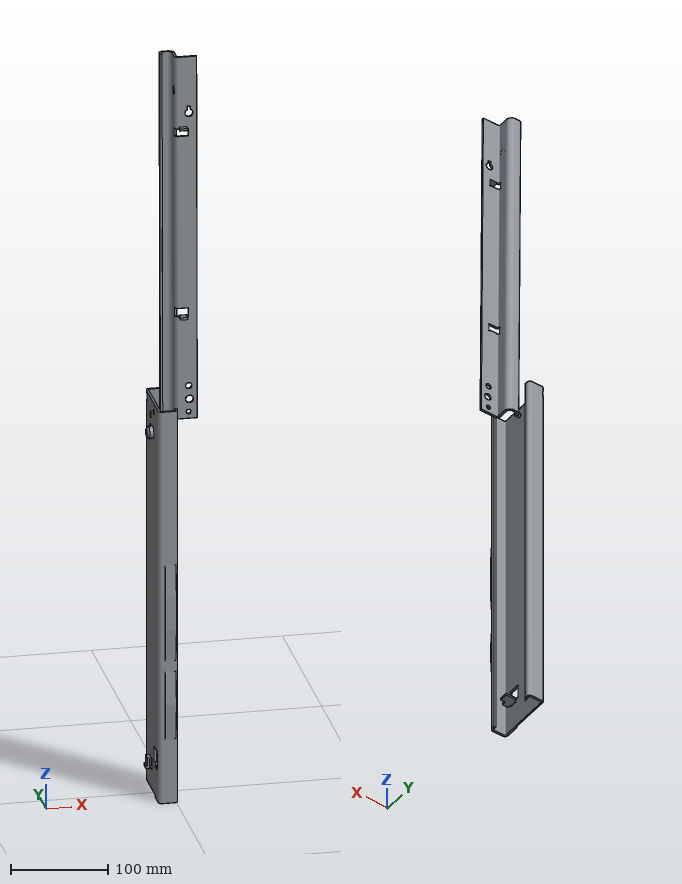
import cadquery as cq

TOTAL_HEIGHT = 815.0
SHEET = 2.5
OUTER_BEND = 4.0
INNER_BEND = OUTER_BEND - SHEET
CUT_MARGIN = 4.0

HOUSING_HEIGHT = 432.0
WEB_X = 6.5
WEB_INSIDE = WEB_X + SHEET
LIP_X = 27.0
BUMP_HEIGHT = 2.5
FRONT_Y = BUMP_HEIGHT
BACK_Y = 71.0
FRONT_LIP_END = 10.0
BACK_LIP_END = 64.0

BUMP_X = (13.0, 24.5)
BUMPS = [((157.0, 262.5), (191.5, 228.0)), ((71.0, 145.0), (107.5, 111.0))]

HEAD_Y = 35.0
HEAD_Z = 398.0
HEAD_RADIUS = 6.5
HEAD_CHAMFER = 2.5
WEB_HOLES = [(46.0, 413.0, 3.0), (29.0, 422.0, 2.5)]
DIMPLE_Y = 47.0
DIMPLE_Z = 400.0
DIMPLE_RADIUS = 2.5
DIMPLE_DEPTH = SHEET / 2

RELIEF_WIDTH = 6.5
RELIEF_FROM_Z = 420.5
RELIEF_TO_Z = 429.5
FOOT_STEP_HEIGHT = 2.5
FOOT_STEP_DEPTH = SHEET / 2
FOOT_STEP_FROM_Y = 22.0

WINDOW_Y = (9.0, 27.0)
WINDOW_Z = (37.5, 54.0)
WINDOW_STEP_WIDTH = 4.0
WINDOW_STEP_HEIGHT = 3.0
INNER_TAB_Y = (15.0, 24.5)
INNER_TAB_END_X = 22.0
SHORT_TAB_Y = (10.0, INNER_TAB_Y[0])
SHORT_TAB_END_X = 16.0
FOLD_SLOT_Y = (14.0, 22.0)
FOLD_SLOT_Z = (33.5, WINDOW_Z[0] - SHEET)

HOOK_WINDOW_Y = (39.0, 51.0)
HOOK_WINDOW_Z = (24.0, 35.0)
HOOK_Y = (41.0, 50.5)
HOOK_END_X = 2.5
HOOK_TOE_X = 1.0
HOOK_TIP_Z = 24.5
HOOK_TOE_TOP_Z = 28.0

RUNNER_BOTTOM = 417.0
RUNNER_CROWN = 6.5
RUNNER_LEAN = 0.5
HOOK_LIP_X = 14.0
WALL_X = 27.0
WALL_OUTSIDE = WALL_X + SHEET
FLANGE_END_X = 50.0
FLANGE_FRONT_Y = 20.0
FLANGE_BACK_Y = FLANGE_FRONT_Y + SHEET
RUNNER_TOP_Y = 41.5
HOOK_LIP_END_Y = 34.0

FLANGE_WINDOW_X = (WALL_X, 41.0)
FLANGE_WINDOWS_Z = [(728.0, 736.0), (530.0, 539.0)]
FLANGE_TABS_Z = [736.0, 528.0]
FLANGE_TAB_X = (31.0, 39.0)
FLANGE_TAB_LENGTH = 6.0
WALL_WINDOW_DEPTH = 2.5
FLANGE_HOLES = [(41.5, 753.0, 4.0), (41.0, 453.0, 3.0), (41.5, 438.5, 4.0), (41.0, 425.0, 2.5)]
KEYHOLE_X = FLANGE_HOLES[0][0]
KEYHOLE_Z = FLANGE_HOLES[0][1]
KEYHOLE_NECK_WIDTH = 3.0
KEYHOLE_NECK_TOP = 760.5

RECESS_Y = 28.0
RECESS_Z = 777.0
RECESS_RADIUS = 4.0
RECESS_DEPTH = SHEET / 2


def block(x_span, y_span, z_span):
    """Axis-aligned block between the given limits."""
    size = [high - low for low, high in (x_span, y_span, z_span)]
    corner = (x_span[0], y_span[0], z_span[0])
    return cq.Workplane("XY").box(*size, centered=False).translate(corner)


def cylinder_x(x_start, y, z, radius, length):
    """Cylinder along +X."""
    return cq.Workplane("YZ", origin=(x_start, y, z)).circle(radius).extrude(length)


def cylinder_y(x, y_start, z, radius, length):
    """Cylinder along +Y."""
    return cq.Workplane("XZ", origin=(x, y_start, z)).circle(radius).extrude(-length)


def round_bends(strip, corners, radius, z_mid):
    """Round the upright edges that stand at the given (x, y) corners."""
    for x, y in corners:
        edge = cq.selectors.NearestToPointSelector((x, y, z_mid))
        strip = strip.edges("|Z").edges(edge).fillet(radius)
    return strip


def housing_channel():
    lip_inside = LIP_X - SHEET
    front_inside = FRONT_Y + SHEET
    back_inside = BACK_Y - SHEET
    outer = [(LIP_X, FRONT_Y), (WEB_X, FRONT_Y), (WEB_X, BACK_Y), (LIP_X, BACK_Y)]
    inner = [(lip_inside, back_inside), (WEB_INSIDE, back_inside),
             (WEB_INSIDE, front_inside), (lip_inside, front_inside)]
    back_lip = [(LIP_X, BACK_LIP_END), (lip_inside, BACK_LIP_END)]
    front_lip = [(lip_inside, FRONT_LIP_END), (LIP_X, FRONT_LIP_END)]
    outline = outer + back_lip + inner + front_lip
    strip = cq.Workplane("XY").polyline(outline).close().extrude(HOUSING_HEIGHT)
    strip = round_bends(strip, outer, OUTER_BEND, HOUSING_HEIGHT / 2)
    return round_bends(strip, inner, INNER_BEND, HOUSING_HEIGHT / 2)


def flange_bump(foot, crest):
    """Ramped bump that rises forward from the front flange."""
    buried_y = FRONT_Y + SHEET / 2
    outline = [(buried_y, foot[0]), (FRONT_Y, foot[0]), (FRONT_Y - BUMP_HEIGHT, crest[0]),
               (FRONT_Y - BUMP_HEIGHT, crest[1]), (FRONT_Y, foot[1]), (buried_y, foot[1])]
    width = BUMP_X[1] - BUMP_X[0]
    return cq.Workplane("YZ", origin=(BUMP_X[0], 0, 0)).polyline(outline).close().extrude(width)


def screw_head():
    """Chamfered head that stands out from the web toward -X."""
    head = cylinder_x(0, HEAD_Y, HEAD_Z, HEAD_RADIUS, WEB_INSIDE)
    return head.faces("<X").chamfer(HEAD_CHAMFER)


def web_openings():
    """Everything that is cut out of the web."""
    web_cut = (WEB_X - CUT_MARGIN, WEB_INSIDE)
    cut_length = web_cut[1] - web_cut[0]
    cuts = block(web_cut, WINDOW_Y, WINDOW_Z)
    step_y = (WINDOW_Y[0], WINDOW_Y[0] + WINDOW_STEP_WIDTH)
    cuts = cuts.cut(block(web_cut, step_y, (WINDOW_Z[1] - WINDOW_STEP_HEIGHT, WINDOW_Z[1])))
    cuts = cuts.union(block(web_cut, FOLD_SLOT_Y, FOLD_SLOT_Z))
    cuts = cuts.union(block(web_cut, HOOK_WINDOW_Y, HOOK_WINDOW_Z))
    cuts = cuts.union(block(web_cut, (BACK_Y - RELIEF_WIDTH, BACK_Y), (RELIEF_FROM_Z, RELIEF_TO_Z)))
    foot_x = (web_cut[0], WEB_X + FOOT_STEP_DEPTH)
    cuts = cuts.union(block(foot_x, (FOOT_STEP_FROM_Y, BACK_Y), (0, FOOT_STEP_HEIGHT)))
    for y, z, radius in WEB_HOLES:
        cuts = cuts.union(cylinder_x(web_cut[0], y, z, radius, cut_length))
    return cuts.union(cylinder_x(WEB_X, DIMPLE_Y, DIMPLE_Z, DIMPLE_RADIUS, DIMPLE_DEPTH))


def inner_tab():
    """Level tab under the window, with a long and a short part."""
    tab_z = (WINDOW_Z[0] - SHEET, WINDOW_Z[0])
    long_part = block((WEB_X, INNER_TAB_END_X), INNER_TAB_Y, tab_z)
    return long_part.union(block((WEB_X, SHORT_TAB_END_X), SHORT_TAB_Y, tab_z))


def outer_hook():
    """Arm that leaves the web toward -X and turns down, with a small toe at its tip."""
    top_z = HOOK_WINDOW_Z[1]
    arm = block((HOOK_END_X, WEB_INSIDE), HOOK_Y, (top_z - SHEET / 2, top_z + SHEET / 2))
    drop = block((HOOK_END_X, HOOK_END_X + SHEET), HOOK_Y, (HOOK_TIP_Z, top_z))
    toe = block((HOOK_TOE_X, HOOK_END_X), HOOK_Y, (HOOK_TIP_Z, HOOK_TOE_TOP_Z))
    return arm.union(drop).union(toe)


def make_housing():
    housing = housing_channel().cut(web_openings())
    for foot, crest in BUMPS:
        housing = housing.union(flange_bump(foot, crest))
    return housing.union(inner_tab()).union(outer_hook()).union(screw_head())


def runner_strip():
    lip_inside = HOOK_LIP_X + SHEET
    top_inside = RUNNER_TOP_Y - SHEET
    outer_bends = [(HOOK_LIP_X, RUNNER_TOP_Y), (WALL_OUTSIDE, RUNNER_TOP_Y), (WALL_X, FLANGE_FRONT_Y)]
    inner_bends = [(lip_inside, top_inside), (WALL_X, top_inside), (WALL_OUTSIDE, FLANGE_BACK_Y)]
    outline = [
        (HOOK_LIP_X, HOOK_LIP_END_Y), outer_bends[0], outer_bends[1], inner_bends[2],
        (FLANGE_END_X, FLANGE_BACK_Y), (FLANGE_END_X, FLANGE_FRONT_Y), outer_bends[2],
        inner_bends[1], inner_bends[0], (lip_inside, HOOK_LIP_END_Y),
    ]
    height = TOTAL_HEIGHT - RUNNER_BOTTOM
    z_mid = RUNNER_BOTTOM + height / 2
    strip = cq.Workplane("XY", origin=(0, 0, RUNNER_BOTTOM)).polyline(outline).close().extrude(height)
    strip = round_bends(strip, [outer_bends[1]], RUNNER_CROWN, z_mid)
    strip = round_bends(strip, [inner_bends[1]], RUNNER_CROWN - SHEET, z_mid)
    strip = round_bends(strip, [outer_bends[0], outer_bends[2]], OUTER_BEND, z_mid)
    return round_bends(strip, [inner_bends[0], inner_bends[2]], INNER_BEND, z_mid)


def runner_openings():
    """Windows, holes and keyhole of the flange, and the wall recess."""
    start_y = FLANGE_FRONT_Y - CUT_MARGIN
    window_y = (start_y, FLANGE_BACK_Y + WALL_WINDOW_DEPTH)
    neck_x = (KEYHOLE_X - KEYHOLE_NECK_WIDTH / 2, KEYHOLE_X + KEYHOLE_NECK_WIDTH / 2)
    cuts = block(neck_x, window_y, (KEYHOLE_Z, KEYHOLE_NECK_TOP))
    for z_span in FLANGE_WINDOWS_Z:
        cuts = cuts.union(block(FLANGE_WINDOW_X, window_y, z_span))
    for x, z, radius in FLANGE_HOLES:
        cuts = cuts.union(cylinder_y(x, start_y, z, radius, window_y[1] - start_y))
    return cuts.union(cylinder_x(WALL_X, RECESS_Y, RECESS_Z, RECESS_RADIUS, RECESS_DEPTH))


def make_runner():
    runner = runner_strip().cut(runner_openings())
    tab_y = (FLANGE_FRONT_Y - FLANGE_TAB_LENGTH, FLANGE_BACK_Y)
    for z in FLANGE_TABS_Z:
        runner = runner.union(block(FLANGE_TAB_X, tab_y, (z, z + SHEET)))
    hinge = (0, FLANGE_FRONT_Y, TOTAL_HEIGHT)
    return runner.rotate(hinge, (1, FLANGE_FRONT_Y, TOTAL_HEIGHT), -RUNNER_LEAN)


housing = make_housing()
runner = make_runner()

result = cq.Compound.makeCompound([housing.solids().val(), runner.solids().val()])